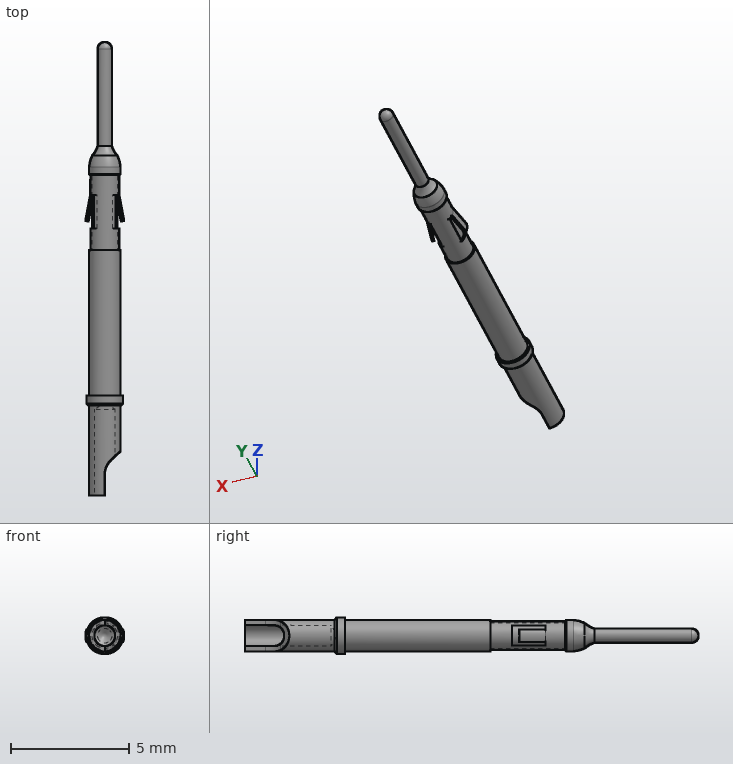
import cadquery as cq
import math

HALF_LENGTH = 9.58

PIN_RADIUS = 0.3
PIN_BASE_Y = 5.18
FLARE_END_Y = 4.77
FLARE_END_RADIUS = 0.54
FLARE_SAG = 0.02
HEAD_BULGE = 0.02
HEAD_START_Y = 4.3
HEAD_END_Y = 4.0
HEAD_CHAMFER = 0.05

BARREL_RADIUS = 0.67
BARREL_START_Y = 0.79
NECK_RADIUS = 0.54
COLLAR_DIAMETER = 1.55
COLLAR_RADIUS = COLLAR_DIAMETER / 2
COLLAR_START_Y = -5.35
COLLAR_END_Y = -5.7
COLLAR_BEVEL_LENGTH = 0.1

BORE_RADIUS = 0.45
BORE_BOTTOM_Y = -5.95
DRILL_HALF_ANGLE = math.radians(59)
CUP_CUT_START_Y = -7.7
CUP_CUT_CORNER_Y = -8.34
CUP_CUT_FILLET = 0.86

CLIP_RADIUS = 0.61
CLIP_START_Y = HEAD_END_Y - HEAD_CHAMFER
CLIP_END_Y = BARREL_START_Y
WINDOW_WIDTH = 0.85
WINDOW_START_Y = 3.1
WINDOW_END_Y = 1.7
TAB_WIDTH = 0.52
TAB_LENGTH = 1.13
TAB_ANGLE = 10.9


def cylinder(radius, start_y, length):
    """Cylinder on the Y axis, running from start_y toward -Y."""
    return cq.Workplane("XZ", origin=(0, start_y, 0)).circle(radius).extrude(length)


def make_turned_blank():
    """Solid of revolution for the pin, head, neck, barrel and collar."""
    tip_mid = PIN_RADIUS * math.sqrt(0.5)
    tip_center_y = HALF_LENGTH - PIN_RADIUS
    flare_mid = (
        (PIN_RADIUS + FLARE_END_RADIUS) / 2 - FLARE_SAG,
        (PIN_BASE_Y + FLARE_END_Y) / 2 - FLARE_SAG,
    )
    head_mid = (
        (FLARE_END_RADIUS + BARREL_RADIUS) / 2 + HEAD_BULGE,
        (FLARE_END_Y + HEAD_START_Y) / 2 + HEAD_BULGE,
    )
    return (
        cq.Workplane("XY")
        .moveTo(0, HALF_LENGTH)
        .threePointArc((tip_mid, tip_center_y + tip_mid), (PIN_RADIUS, tip_center_y))
        .lineTo(PIN_RADIUS, PIN_BASE_Y)
        .threePointArc(flare_mid, (FLARE_END_RADIUS, FLARE_END_Y))
        .threePointArc(head_mid, (BARREL_RADIUS, HEAD_START_Y))
        .lineTo(BARREL_RADIUS, HEAD_END_Y)
        .lineTo(BARREL_RADIUS - HEAD_CHAMFER, HEAD_END_Y - HEAD_CHAMFER)
        .lineTo(NECK_RADIUS, HEAD_END_Y - HEAD_CHAMFER)
        .lineTo(NECK_RADIUS, BARREL_START_Y)
        .lineTo(BARREL_RADIUS, BARREL_START_Y)
        .lineTo(BARREL_RADIUS, COLLAR_START_Y)
        .lineTo(COLLAR_RADIUS, COLLAR_START_Y)
        .lineTo(COLLAR_RADIUS, COLLAR_END_Y)
        .lineTo(BARREL_RADIUS, COLLAR_END_Y - COLLAR_BEVEL_LENGTH)
        .lineTo(BARREL_RADIUS, -HALF_LENGTH)
        .lineTo(0, -HALF_LENGTH)
        .close()
        .revolve(360, (0, 0, 0), (0, 1, 0))
    )


def make_bore():
    """Drilled bore with a conical bottom."""
    cone_tip_y = BORE_BOTTOM_Y + BORE_RADIUS / math.tan(DRILL_HALF_ANGLE)
    return (
        cq.Workplane("XY")
        .polyline([
            (0, -HALF_LENGTH),
            (BORE_RADIUS, -HALF_LENGTH),
            (BORE_RADIUS, BORE_BOTTOM_Y),
            (0, cone_tip_y),
        ])
        .close()
        .revolve(360, (0, 0, 0), (0, 1, 0))
    )


def make_cup_cut():
    """Cutter that opens the +X half of the cup, with a sloped, rounded run-out."""
    return (
        cq.Workplane("XY")
        .polyline([
            (0, -HALF_LENGTH),
            (BARREL_RADIUS, -HALF_LENGTH),
            (BARREL_RADIUS, CUP_CUT_START_Y),
            (0, CUP_CUT_CORNER_Y),
        ])
        .close()
        .extrude(BARREL_RADIUS, both=True)
        .edges(cq.selectors.NearestToPointSelector((0, CUP_CUT_CORNER_Y, 0)))
        .fillet(CUP_CUT_FILLET)
    )


def make_contact():
    return make_turned_blank().cut(make_bore()).cut(make_cup_cut())


def make_tube(start_y, length):
    """Length of tube with the clip's wall, around the neck."""
    return cylinder(CLIP_RADIUS, start_y, length).cut(cylinder(NECK_RADIUS, start_y, length))


def side_block(width, start_y, length):
    """Block from the axis out to the +X side of the clip, centred on Z = 0."""
    return cq.Workplane("XY").box(CLIP_RADIUS, length, width).translate(
        (CLIP_RADIUS / 2, start_y - length / 2, 0)
    )


def make_tab():
    """Curved +X spring tab, hinged at the window's +Y end and bent outward."""
    strip = make_tube(WINDOW_START_Y, TAB_LENGTH).intersect(
        side_block(TAB_WIDTH, WINDOW_START_Y, TAB_LENGTH)
    )
    hinge_x = math.sqrt(NECK_RADIUS**2 - (TAB_WIDTH / 2) ** 2)
    return strip.rotate((hinge_x, WINDOW_START_Y, 0), (hinge_x, WINDOW_START_Y, 1), TAB_ANGLE)


def make_clip():
    """Sleeve around the neck with a window and a spring tab on each X side."""
    window = side_block(WINDOW_WIDTH, WINDOW_START_Y, WINDOW_START_Y - WINDOW_END_Y)
    tab = make_tab()
    clip = make_tube(CLIP_START_Y, CLIP_START_Y - CLIP_END_Y)
    for side_angle in (0, 180):
        clip = clip.cut(window.rotate((0, 0, 0), (0, 1, 0), side_angle))
        clip = clip.union(tab.rotate((0, 0, 0), (0, 1, 0), side_angle))
    return clip.cut(cylinder(NECK_RADIUS, CLIP_START_Y, CLIP_START_Y - CLIP_END_Y))


contact = make_contact()
clip = make_clip()

result = cq.Compound.makeCompound([contact.solids().val(), clip.solids().val()])